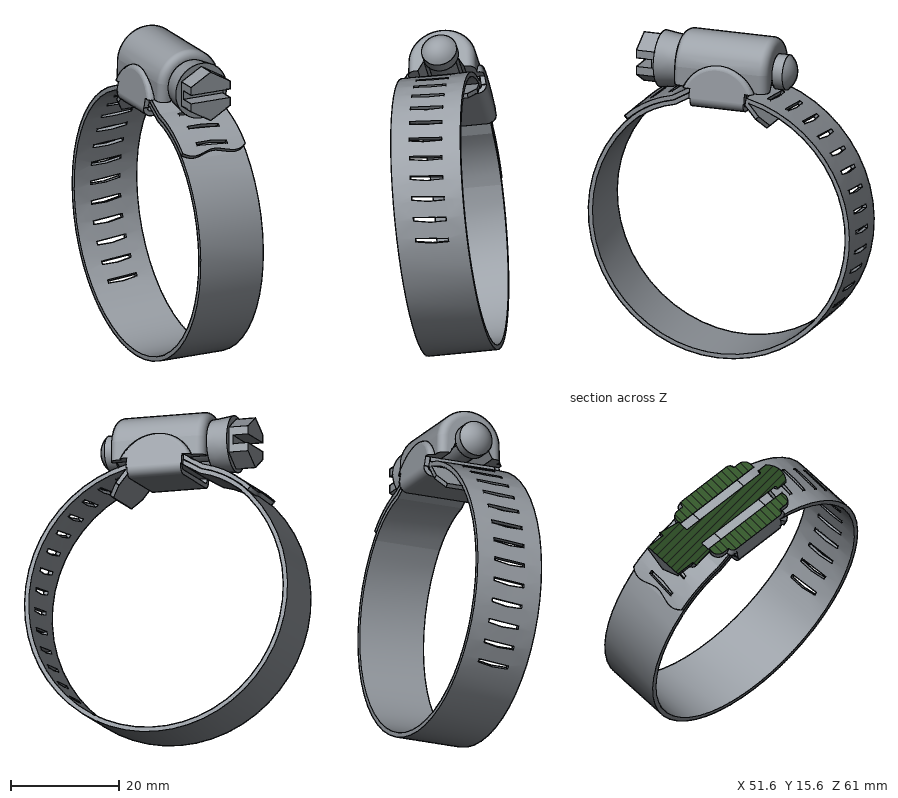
import cadquery as cq
import math


ring_radius = 25.8
band_width = 13.05
band_thickness = 0.85
lap_gap = 0.05
lap_half_length = 5.4
dip_x, dip_z = 8.9, 23.2
join_angle = 43.5
tail_end_angle = 46
tail_lobe_height = 0.9
tail_lobe_offset = 3.95
tail_reach_angle = 40
tongue_angle = 50
tongue_length = 6.4
tongue_corner_length = 2.55
tongue_corner_width = 1.5

slot_half_length = 3.05
slot_rise = 0.58
slot_flat_end = 0.05
slot_pitch = 8.7
first_slot_angle = 110.1
slot_count = 14
first_tail_slot_angle = 48.6
tail_slot_count = 3
slot_cut_depth = 4.9

housing_half_length = 9.25
housing_radius = 6.3
housing_crease_height = 0.75
housing_base_half_width = 6.35
housing_end_fillet = 1.5
axis_z = 28.9
cheek_radius = 7.55
cheek_center_z = 23.1
cheek_fillet = 0.85
flap_lean = 9
flap_half_width = 7.5
strap_thickness = 0.9
strap_bottom_z = 22.5
strap_bend_radius = 1.65
strap_bend_z = 24.25
strap_bend_inset = 0.2
channel_top_half_width = 3.25
channel_base_half_width = 4.3
channel_top_drop = 0.85

shank_radius = 3.3
core_radius = 2.75
dome_start_x = -11.3
dome_tip_x = -12.85
collar_end_x = 13.4
collar_small_radius = 4.75
collar_large_radius = 5.3
hex_end_x = 17.2
hex_sides = 6
hex_corner_diameter = 9.45
driver_slot_bottom_x = 14.2
driver_slot_width = 1.65

lap_z = math.sqrt(ring_radius**2 - lap_half_length**2)
base_z = lap_z + lap_gap + band_thickness


def polar(radius, angle):
    return (radius * math.cos(math.radians(angle)), radius * math.sin(math.radians(angle)))


def lap_points(offset):
    """Corner, dip, bend middle and ring join of the line between the layers, offset outward."""
    join_x, join_z = polar(ring_radius, join_angle)
    reach_to_join = (dip_x * join_x + dip_z * join_z) / ring_radius
    center_distance = (ring_radius**2 - dip_x**2 - dip_z**2) / (2 * (ring_radius - reach_to_join))
    bend_radius = ring_radius - center_distance
    center_x, center_z = polar(center_distance, join_angle)
    straight_slope = math.atan2(lap_z - dip_z, dip_x - lap_half_length)
    dip_slope = math.atan2(dip_x - center_x, dip_z - center_z)
    join_slope = math.radians(90 - join_angle)

    def mitre(x, z, slope_in, slope_out):
        middle = (slope_in + slope_out) / 2
        reach = offset / math.cos((slope_out - slope_in) / 2)
        return (x + reach * math.sin(middle), z + reach * math.cos(middle))

    def on_bend(slope):
        radius = bend_radius + offset
        return (center_x + radius * math.sin(slope), center_z + radius * math.cos(slope))

    return (
        mitre(lap_half_length, lap_z, 0, straight_slope),
        mitre(dip_x, dip_z, straight_slope, dip_slope),
        on_bend((dip_slope + join_slope) / 2),
        on_bend(join_slope),
    )


def band_plate(profile):
    return profile.extrude(band_width / 2, both=True)


def ring_blank(offset):
    """Solid disc bounded by the ring line, offset outward."""
    radius = ring_radius + offset
    level = lap_z + offset
    corner, dip, bend_middle, join = lap_points(offset)
    start = (-math.sqrt(radius**2 - level**2), level)
    return band_plate(
        cq.Workplane("XZ").moveTo(*start).lineTo(*corner).lineTo(*dip)
        .threePointArc(bend_middle, join).threePointArc((0, -radius), start).close()
    )


def radial_plane(radius, angle):
    """Plane facing outward from the ring: local x runs clockwise round it, local y along Y."""
    x, z = polar(radius, angle)
    return cq.Workplane(cq.Plane(origin=(x, 0, z), xDir=(z, 0, -x), normal=(x, 0, z)))


def slot_cutter(angle):
    outline = [
        (slot_rise, slot_half_length),
        (slot_flat_end, -slot_half_length),
        (-slot_rise, -slot_half_length),
        (-slot_rise, 0),
        (-slot_flat_end, slot_half_length),
    ]
    plane = radial_plane(ring_radius - slot_cut_depth / 2, angle)
    return plane.polyline(outline).close().extrude(slot_cut_depth)


def make_tail():
    """Upper layer of the overlap, from its step at the housing to its wavy end."""
    inner = lap_points(lap_gap)
    outer = lap_points(lap_gap + band_thickness)
    inner_radius = ring_radius + lap_gap
    outer_radius = inner_radius + band_thickness
    middle_angle = (join_angle + tail_reach_angle) / 2
    tail = band_plate(
        cq.Workplane("XZ").moveTo(-lap_half_length, base_z)
        .lineTo(*outer[0]).lineTo(*outer[1]).threePointArc(outer[2], outer[3])
        .threePointArc(polar(outer_radius, middle_angle), polar(outer_radius, tail_reach_angle))
        .lineTo(*polar(inner_radius, tail_reach_angle))
        .threePointArc(polar(inner_radius, middle_angle), inner[3])
        .threePointArc(inner[2], inner[1]).lineTo(*inner[0])
        .lineTo(-lap_half_length, lap_z + lap_gap).close()
    )
    half_width = band_width / 2
    wave = [
        (tail_lobe_height, -tail_lobe_offset),
        (0, 0),
        (tail_lobe_height, tail_lobe_offset),
        (0, half_width),
    ]
    waste = (
        radial_plane(ring_radius - band_thickness, tail_end_angle)
        .moveTo(0, -half_width).spline(wave, includeCurrent=True)
        .lineTo(band_width, half_width).lineTo(band_width, -half_width).close()
        .extrude(band_width)
    )
    tail = tail.cut(waste)
    for i in range(tail_slot_count):
        tail = tail.cut(slot_cutter(first_tail_slot_angle + i * slot_pitch))
    return tail


def make_tongue():
    """Bent-down inner end of the band, narrowed at its free end."""
    slope = math.radians(tongue_angle)
    root = cq.Plane(
        origin=(-lap_half_length, 0, lap_z - band_thickness / 2),
        xDir=(-math.cos(slope), 0, -math.sin(slope)),
        normal=(math.sin(slope), 0, -math.cos(slope)),
    )
    half_width = band_width / 2
    half_end = half_width - tongue_corner_width
    shoulder = tongue_length - tongue_corner_length
    outline = [
        (0, -half_width), (shoulder, -half_width), (tongue_length, -half_end),
        (tongue_length, half_end), (shoulder, half_width), (0, half_width),
    ]
    return cq.Workplane(root).polyline(outline).close().extrude(band_thickness)


def make_band():
    ring = ring_blank(0).cut(ring_blank(-band_thickness))
    for i in range(slot_count):
        ring = ring.cut(slot_cutter(first_slot_angle + i * slot_pitch))
    seam = cq.Workplane("XY", origin=(0, 0, lap_z)).box(
        2 * lap_half_length, band_width, lap_gap, centered=(True, True, False)
    )
    return ring.union(seam).union(make_tail()).union(make_tongue())


def flap_y(z):
    """Half width of the leaning outer flap face at height z."""
    return flap_half_width + (base_z - z) * math.tan(math.radians(flap_lean))


def leaning_prism(bottom_z, top_z, inset, half_length):
    """Prism along X between the two leaning flap faces, moved inward by an inset."""
    bottom_y = flap_y(bottom_z) - inset
    top_y = flap_y(top_z) - inset
    outline = [(-bottom_y, bottom_z), (bottom_y, bottom_z), (top_y, top_z), (-top_y, top_z)]
    return cq.Workplane("YZ").polyline(outline).close().extrude(half_length, both=True)


def make_shell():
    crease_y = math.sqrt(housing_radius**2 - housing_crease_height**2)
    crease_z = axis_z + housing_crease_height
    shell = (
        cq.Workplane("YZ").moveTo(-housing_base_half_width, base_z)
        .lineTo(-crease_y, crease_z)
        .threePointArc((0, axis_z + housing_radius), (crease_y, crease_z))
        .lineTo(housing_base_half_width, base_z).close()
        .extrude(housing_half_length, both=True)
    )
    return shell.faces("<X or >X").edges("not <Z").fillet(housing_end_fillet)


def make_cheeks():
    top_z = cheek_center_z + cheek_radius
    disc = (
        cq.Workplane("XZ", origin=(0, 0, cheek_center_z)).circle(cheek_radius)
        .extrude(2 * flap_half_width, both=True)
    )
    cheeks = leaning_prism(base_z, top_z + cheek_fillet, 0, cheek_radius).intersect(disc)
    return cheeks.faces("<Y or >Y").edges("not <Z").fillet(cheek_fillet)


def make_strap():
    """Flaps hanging from the cheeks, joined by a strap that passes under the band."""
    outer = leaning_prism(strap_bottom_z, base_z, 0, lap_half_length)
    outer = outer.faces("<Z").edges("|X").fillet(strap_bend_radius)
    inner = leaning_prism(strap_bottom_z + strap_thickness, base_z, strap_thickness, lap_half_length)
    inner = inner.faces("<Z").edges("|X").fillet(strap_bend_radius - strap_thickness)
    strap = outer.cut(inner)
    bend_height = strap_bend_z - strap_bottom_z
    for side in (-1, 1):
        trim = cq.Workplane("XY", origin=(side * lap_half_length, 0, strap_bottom_z)).box(
            2 * strap_bend_inset, 3 * flap_half_width, bend_height, centered=(True, True, False)
        )
        strap = strap.cut(trim)
    return strap


def make_housing():
    housing = make_shell().union(make_cheeks()).union(make_strap())
    channel_top_z = axis_z - channel_top_drop
    channel = (
        cq.Workplane("YZ").moveTo(-channel_base_half_width, base_z)
        .lineTo(-channel_top_half_width, channel_top_z).lineTo(channel_top_half_width, channel_top_z)
        .lineTo(channel_base_half_width, base_z).close()
        .extrude(housing_half_length, both=True)
    )
    bore = (
        cq.Workplane("YZ", origin=(0, 0, axis_z)).circle(core_radius)
        .extrude(housing_half_length, both=True)
    )
    return housing.cut(channel).cut(bore)


def make_screw():
    dome_height = dome_start_x - dome_tip_x
    dome_radius = (shank_radius**2 + dome_height**2) / (2 * dome_height)
    half_angle = math.asin(shank_radius / dome_radius) / 2
    dome_middle = (
        dome_tip_x + dome_radius * (1 - math.cos(half_angle)),
        dome_radius * math.sin(half_angle),
    )
    turned = (
        cq.Workplane("XY").moveTo(dome_tip_x, 0)
        .threePointArc(dome_middle, (dome_start_x, shank_radius))
        .lineTo(-housing_half_length, shank_radius).lineTo(-housing_half_length, core_radius)
        .lineTo(housing_half_length, core_radius).lineTo(housing_half_length, collar_small_radius)
        .lineTo(collar_end_x, collar_large_radius).lineTo(collar_end_x, 0).close()
        .revolve(360, (0, 0), (1, 0))
    )
    head = (
        cq.Workplane("YZ", origin=(collar_end_x, 0, 0))
        .polygon(hex_sides, hex_corner_diameter).extrude(hex_end_x - collar_end_x)
        .rotate((0, 0, 0), (1, 0, 0), 90)
    )
    driver_slot = cq.Workplane("XY", origin=(driver_slot_bottom_x, 0, 0)).box(
        hex_end_x - driver_slot_bottom_x, hex_corner_diameter, driver_slot_width, centered=(False, True, True)
    )
    return turned.union(head).cut(driver_slot).translate((0, 0, axis_z))


band = make_band()
housing = make_housing()
screw = make_screw()

result = cq.Compound.makeCompound([band.val(), housing.val(), screw.val()])